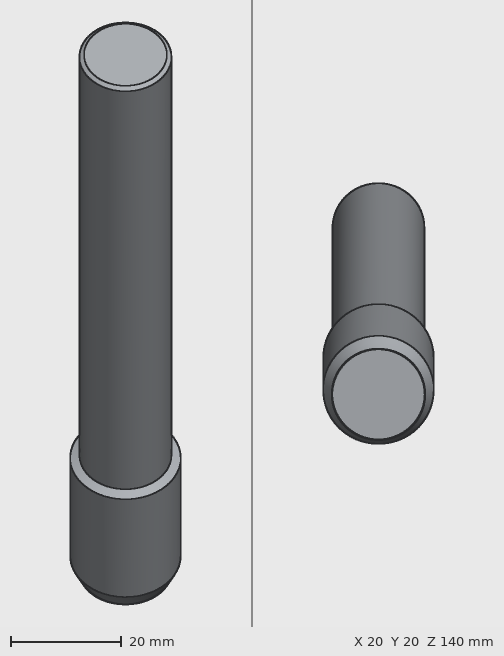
import cadquery as cq

total_length = 140.0
rod_diameter = 16.7
rod_bevel_width = 0.8
rod_bevel_height = 0.5
sleeve_diameter = 20.0
sleeve_length = 31.2
shoulder_height = 0.8
nose_bevel_width = 1.5
nose_bevel_height = 3.8

rod_radius = rod_diameter / 2
sleeve_radius = sleeve_diameter / 2


def revolve_about_z(outline):
    """Turn a closed (radius, height) outline into a solid around the Z axis."""
    return cq.Workplane("XZ").polyline(outline).close().revolve(360, (0, 0), (0, 1))


def make_rod():
    """Full-length plain rod with a small bevel around its top end."""
    return revolve_about_z([
        (0, 0),
        (rod_radius, 0),
        (rod_radius, total_length - rod_bevel_height),
        (rod_radius - rod_bevel_width, total_length),
        (0, total_length),
    ])


def make_sleeve():
    """Sleeve around the rod's lower end, with a tapered nose and a sloping top shoulder."""
    return revolve_about_z([
        (rod_radius, 0),
        (sleeve_radius - nose_bevel_width, 0),
        (sleeve_radius, nose_bevel_height),
        (sleeve_radius, sleeve_length - shoulder_height),
        (rod_radius, sleeve_length),
    ])


rod = make_rod()
sleeve = make_sleeve()

result = cq.Compound.makeCompound([rod.val(), sleeve.val()])